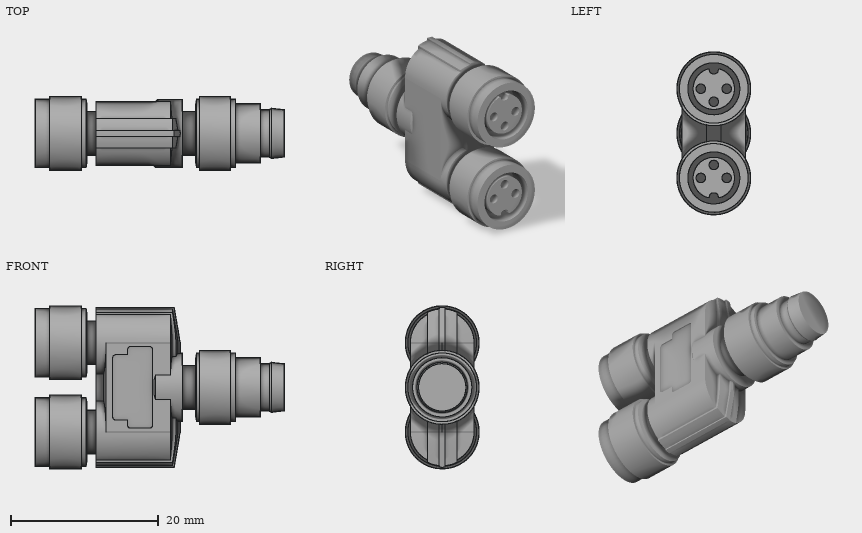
import cadquery as cq
import math

TOTAL_LENGTH = 33.7
AXIS_OFFSET = 6.03
NUT_DIAMETER = 10.0
NUT_RADIUS = NUT_DIAMETER / 2
SLEEVE_RADIUS = 4.65
SLEEVE_BACK_RADIUS = 3.95
NECK_RADIUS = 2.95

SOCKET_NUT_START = 1.95
SOCKET_NUT_END = 6.25
SOCKET_SLEEVE_END = 6.87
SLEEVE_BACK_LENGTH = 0.15

BORE_DIAMETER = 7.05
BORE_RADIUS = BORE_DIAMETER / 2
BORE_DEPTH = 3.37
INSERT_RADIUS = 2.8
INSERT_SETBACK = 0.37
CONTACT_RADIUS = 0.65
CONTACT_OFFSET = 1.75
CONTACT_DEPTH = 3.37
KEYWAY_HALF_WIDTH = 0.6
KEYWAY_FLOOR = 2.02
KEYWAY_FLOOR_RADIUS = 0.5
KEYWAY_LIP_RADIUS = 0.17

BODY_START = 8.22
BODY_END = 18.3
BODY_RADIUS = 4.3
BODY_END_ANGLE = 5.0
RIB_RADIUS = 4.6
RIB_HALF_WIDTH = 2.0
RIB_END = 18.57
RIDGE_RADIUS = 4.8
RIDGE_HALF_WIDTH = 0.4
RIDGE_END = 18.8
RIB_END_ANGLE = 10.0

WEB_HALF_WIDTH = 0.98
HOLLOW_DEPTH_AT_WEB = 1.0
HOLLOW_DEPTH_AT_SIDE = 1.35

LABEL_START = 10.48
LABEL_STEP = 12.5
LABEL_END = 15.87
LABEL_HALF_HEIGHT = 5.53
LABEL_STEP_HALF_HEIGHT = 4.4
LABEL_CORNER_RADIUS = 0.4
LABEL_DEPTH = 0.17

COLLAR_RADIUS = 4.62
COLLAR_START_FRONT = 16.05
COLLAR_START_BACK = 16.35
COLLAR_END = 19.9
COLLAR_CHAMFER = 0.25

PLUG_CONE_START = 21.7
PLUG_NUT_START = 22.2
PLUG_NUT_END = 26.42
PLUG_SLEEVE_END = 27.13
PLUG_BARREL_END = 30.45
PLUG_BARREL_RADIUS = 4.0
PLUG_GROOVE_END = 31.68
PLUG_GROOVE_RADIUS = 3.2
PLUG_BEAD_RADIUS = 3.4
PLUG_BEAD_CREST = 31.95


def turned(profile):
    """Solid of revolution about the X axis from (x, radius) points, the last one on the axis."""
    closed = [(profile[0][0], 0)] + profile
    return cq.Workplane("XY").polyline(closed).close().revolve(360, (0, 0, 0), (1, 0, 0))


def rod(radius, start, end, y=0, z=0):
    """Cylinder parallel to X."""
    return cq.Workplane("YZ", origin=(start, y, z)).circle(radius).extrude(end - start)


def box(x_range, y_range, z_range):
    sizes = [high - low for low, high in (x_range, y_range, z_range)]
    corner = (x_range[0], y_range[0], z_range[0])
    return cq.Workplane("XY", origin=corner).box(*sizes, centered=False)


def socket():
    """Socket on the X axis with its keyway on the +Z side."""
    sleeve_back = SOCKET_SLEEVE_END + SLEEVE_BACK_LENGTH
    shell = turned([
        (0, SLEEVE_RADIUS),
        (SOCKET_NUT_START, SLEEVE_RADIUS),
        (SOCKET_NUT_START, NUT_RADIUS),
        (SOCKET_NUT_END, NUT_RADIUS),
        (SOCKET_NUT_END, SLEEVE_RADIUS),
        (SOCKET_SLEEVE_END, SLEEVE_RADIUS),
        (sleeve_back, SLEEVE_BACK_RADIUS),
        (sleeve_back, NECK_RADIUS),
        (BODY_START, NECK_RADIUS),
        (BODY_START, 0),
    ])
    lip_height = math.sqrt(INSERT_RADIUS**2 - KEYWAY_HALF_WIDTH**2)
    insert = rod(INSERT_RADIUS, INSERT_SETBACK, BORE_DEPTH)
    keyway = box(
        (0, BORE_DEPTH),
        (-KEYWAY_HALF_WIDTH, KEYWAY_HALF_WIDTH),
        (KEYWAY_FLOOR, BORE_RADIUS),
    ).edges("|X and <Z").fillet(KEYWAY_FLOOR_RADIUS)
    insert = insert.cut(keyway)
    lips = cq.selectors.BoxSelector(
        (0, -BORE_RADIUS, lip_height - KEYWAY_LIP_RADIUS / 2),
        (BORE_DEPTH, BORE_RADIUS, BORE_RADIUS),
    )
    insert = insert.edges("|X").edges(lips).fillet(KEYWAY_LIP_RADIUS)
    part = shell.cut(rod(BORE_RADIUS, 0, BORE_DEPTH)).union(insert)
    for y, z in ((-CONTACT_OFFSET, 0), (CONTACT_OFFSET, 0), (0, -CONTACT_OFFSET)):
        part = part.cut(rod(CONTACT_RADIUS, 0, INSERT_SETBACK + CONTACT_DEPTH, y, z))
    return part


def stadium_block(radius, edge_end, end_angle):
    """Stadium-section block whose +X end rises at end_angle from its rim to the lobe axes."""
    peak = edge_end + radius * math.tan(math.radians(end_angle))
    lobe = turned([(BODY_START, radius), (edge_end, radius), (peak, 0)])
    middle = (
        cq.Workplane("XY", origin=(0, 0, -AXIS_OFFSET))
        .polyline([(BODY_START, -radius), (edge_end, -radius), (peak, 0),
                   (edge_end, radius), (BODY_START, radius)])
        .close()
        .extrude(2 * AXIS_OFFSET)
    )
    for side in (-1, 1):
        middle = middle.union(lobe.translate((0, 0, side * AXIS_OFFSET)))
    return middle


def band(radius, edge_end, half_width):
    """Raised band around the top, +X end and bottom of the body."""
    slab = box((0, TOTAL_LENGTH), (-half_width, half_width), (-TOTAL_LENGTH, TOTAL_LENGTH))
    return stadium_block(radius, edge_end, RIB_END_ANGLE).intersect(slab)


def hollow():
    """Space beside the web on the +Y side, bounded by the two lobes."""
    space = (
        cq.Workplane("XY", origin=(0, 0, -AXIS_OFFSET))
        .polyline([(BODY_START, WEB_HALF_WIDTH),
                   (BODY_START + HOLLOW_DEPTH_AT_WEB, WEB_HALF_WIDTH),
                   (BODY_START + HOLLOW_DEPTH_AT_SIDE, BODY_RADIUS),
                   (BODY_START, BODY_RADIUS)])
        .close()
        .extrude(2 * AXIS_OFFSET)
    )
    for side in (-1, 1):
        space = space.cut(rod(BODY_RADIUS, BODY_START, BODY_END, z=side * AXIS_OFFSET))
    return space


def label_plate(start, half_height):
    """Rounded rectangle in the -Y side, reaching from start to the common +X edge of the label."""
    plate = box(
        (start, LABEL_END),
        (-BODY_RADIUS, LABEL_DEPTH - BODY_RADIUS),
        (-half_height, half_height),
    )
    return plate.edges("|Y").fillet(LABEL_CORNER_RADIUS)


def label_recess():
    tall = label_plate(LABEL_STEP, LABEL_HALF_HEIGHT)
    return tall.union(label_plate(LABEL_START, LABEL_STEP_HALF_HEIGHT))


def body():
    block = stadium_block(BODY_RADIUS, BODY_END, BODY_END_ANGLE)
    block = block.union(band(RIB_RADIUS, RIB_END, RIB_HALF_WIDTH))
    block = block.union(band(RIDGE_RADIUS, RIDGE_END, RIDGE_HALF_WIDTH))
    side_hollow = hollow()
    block = block.cut(side_hollow).cut(side_hollow.mirror("XZ"))
    return block.cut(label_recess())


def half_collar(start, y_range):
    """Collar with a chamfered start, limited to one Y range."""
    full = rod(COLLAR_RADIUS, start, COLLAR_END).faces("<X").chamfer(COLLAR_CHAMFER)
    return full.intersect(box((0, TOTAL_LENGTH), y_range, (-COLLAR_RADIUS, COLLAR_RADIUS)))


def plug():
    return turned([
        (COLLAR_END, NECK_RADIUS),
        (PLUG_CONE_START, NECK_RADIUS),
        (PLUG_CONE_START, SLEEVE_BACK_RADIUS),
        (PLUG_CONE_START + SLEEVE_BACK_LENGTH, SLEEVE_RADIUS),
        (PLUG_NUT_START, SLEEVE_RADIUS),
        (PLUG_NUT_START, NUT_RADIUS),
        (PLUG_NUT_END, NUT_RADIUS),
        (PLUG_NUT_END, SLEEVE_RADIUS),
        (PLUG_SLEEVE_END, SLEEVE_RADIUS),
        (PLUG_SLEEVE_END, PLUG_BARREL_RADIUS),
        (PLUG_BARREL_END, PLUG_BARREL_RADIUS),
        (PLUG_BARREL_END, PLUG_GROOVE_RADIUS),
        (PLUG_GROOVE_END, PLUG_GROOVE_RADIUS),
        (PLUG_BEAD_CREST, PLUG_BEAD_RADIUS),
        (TOTAL_LENGTH, PLUG_GROOVE_RADIUS),
        (TOTAL_LENGTH, 0),
    ])


upper_socket = socket().translate((0, 0, AXIS_OFFSET))
result = body().union(upper_socket).union(upper_socket.mirror("XY"))
result = result.union(half_collar(COLLAR_START_FRONT, (-COLLAR_RADIUS, 0)))
result = result.union(half_collar(COLLAR_START_BACK, (0, COLLAR_RADIUS)))
result = result.union(plug())